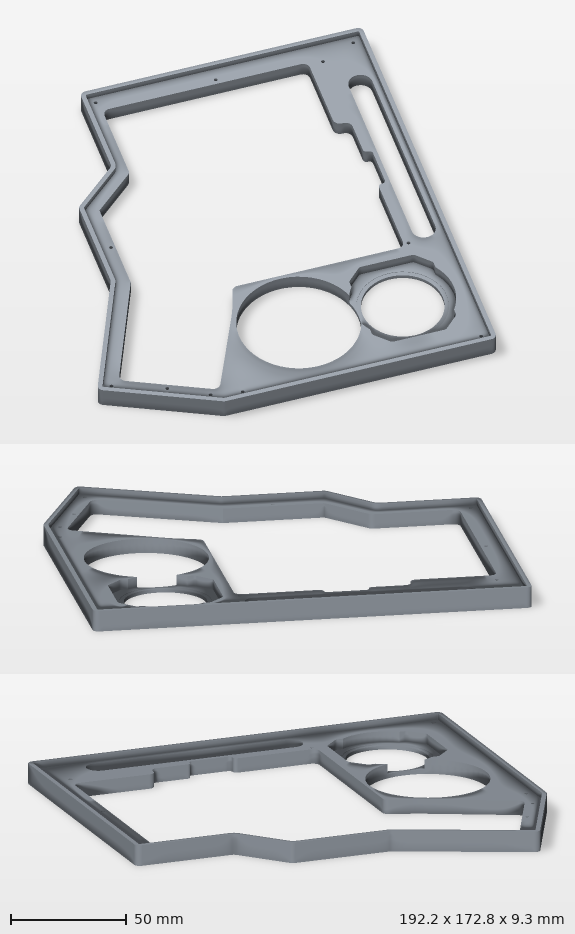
import cadquery as cq
import math


length = 192.25
depth = 172.83
height = 9.3
rim_width = 2.05
deck_z = 6.5
outer_radius = 2.6

left_slant = math.radians(48)
front_slant = math.radians(22.85)
right_slant = math.radians(65.15)

left_front_y = -127.8
left_front_end_x = 45.4
middle_front_y = -148.6
right_edge_end_y = -123.45

window_left = 10.5
window_right = 126.6
window_rear_y = -20.85
window_step_x = 49.1
window_step_y = -27.85
notch_left = 68.25
notch_right = 88.15
notch_y = -17.25
notch_radius = 1.7
window_radius = 3.2
window_left_front_y = -120.8
window_left_front_end_x = 49.1
window_middle_front_y = -139.85
window_middle_front_end_x = 110.65
hole_side_corner_y = -99.0
hole_side_bend = (140.15, -103.3)
hole_side_bend_radius = 45.6
window_right_corner = (182.45, -122.6)

slot_length = 100.0
slot_width = 10.6
slot_center = (74.05, -10.0)

opening_x = 155.2
large_hole_y = -78.0
large_hole_diameter = 54.0
ring_y = -31.0
ring_hole_diameter = 36.08
ring_recess_diameter = 40.0
ring_recess_z = 1.65

pocket_z = 1.85
pocket_length = 46.2
pocket_width = 38.05
pocket_corner = 6.75
pocket_corner_radius = 2.0
pocket_circle_diameter = 46.2

screw_diameter = 1.62
screw_depth = 5.0
screw_centers = [
    (5.3, -5.6),
    (11.9, -21.4),
    (8.1, -68.7),
    (5.3, -122.2),
    (88.5, -141.7),
    (124.9, -18.75),
    (186.7, -5.55),
    (186.7, -113.45),
    (184.2, -127.2),
    (175.0, -143.8),
    (166.35, -166.3),
]


def toward(start, end, distance):
    """Point at a distance from start on the way to end."""
    share = distance / math.dist(start, end)
    return (start[0] + share * (end[0] - start[0]), start[1] + share * (end[1] - start[1]))


def slanted_meeting(first, first_angle, second, second_angle):
    """Meeting point of two lines, each given by a point and a direction angle."""
    gap_x = second[0] - first[0]
    gap_y = second[1] - first[1]
    travel = gap_x * math.sin(second_angle) - gap_y * math.cos(second_angle)
    travel /= math.sin(second_angle - first_angle)
    return (first[0] + travel * math.cos(first_angle), first[1] + travel * math.sin(first_angle))


def rounded_outline(corners, bottom_z):
    """Closed outline through ((x, y), radius) corners; radius 0 leaves a corner sharp."""
    stretches = []
    for index, (corner, radius) in enumerate(corners):
        before = corners[index - 1][0]
        after = corners[(index + 1) % len(corners)][0]
        if radius == 0:
            stretches.append((corner, None, corner))
            continue
        angle_before = math.atan2(before[1] - corner[1], before[0] - corner[0])
        angle_after = math.atan2(after[1] - corner[1], after[0] - corner[0])
        half_angle = abs(math.remainder(angle_after - angle_before, math.tau)) / 2
        tangent_length = radius / math.tan(half_angle)
        arc_start = toward(corner, before, tangent_length)
        arc_end = toward(corner, after, tangent_length)
        chord_middle = ((arc_start[0] + arc_end[0]) / 2, (arc_start[1] + arc_end[1]) / 2)
        arc_middle = toward(corner, chord_middle, radius / math.sin(half_angle) - radius)
        stretches.append((arc_start, arc_middle, arc_end))

    outline = cq.Workplane("XY").workplane(offset=bottom_z).moveTo(*stretches[0][2])
    for arc_start, arc_middle, arc_end in stretches[1:] + stretches[:1]:
        outline = outline.lineTo(*arc_start)
        if arc_middle is not None:
            outline = outline.threePointArc(arc_middle, arc_end)
    return outline.close()


def frame_corners():
    """Outer corners; the rounded front tip reaches exactly the overall depth."""
    slant_run = (left_front_y - middle_front_y) / math.tan(left_slant)
    middle_front_start = (left_front_end_x + slant_run, middle_front_y)
    right_edge_end = (length, right_edge_end_y)
    tip_center_y = outer_radius - depth
    tip_center_x = length + (tip_center_y - right_edge_end_y) / math.tan(right_slant)
    tip_center_x -= outer_radius / math.sin(right_slant)
    slant_tangent = (
        tip_center_x - outer_radius * math.sin(front_slant),
        tip_center_y - outer_radius * math.cos(front_slant),
    )
    front_tip = slanted_meeting(slant_tangent, -front_slant, right_edge_end, right_slant)
    middle_front_end = slanted_meeting(slant_tangent, -front_slant, middle_front_start, 0)
    points = [
        (0, 0),
        (length, 0),
        right_edge_end,
        front_tip,
        middle_front_end,
        middle_front_start,
        (left_front_end_x, left_front_y),
        (0, left_front_y),
    ]
    return [(point, outer_radius) for point in points]


def make_tray():
    """Solid plate with a raised rim all around its top."""
    body = rounded_outline(frame_corners(), 0).extrude(height)
    inside = rounded_outline(frame_corners(), deck_z).offset2D(-rim_width).extrude(height - deck_z)
    return body.cut(inside)


def make_window():
    slant_run = (window_left_front_y - window_middle_front_y) / math.tan(left_slant)
    front_start = (window_left_front_end_x + slant_run, window_middle_front_y)
    front_end = (window_middle_front_end_x, window_middle_front_y)
    front_tip = slanted_meeting(front_end, -front_slant, window_right_corner, right_slant)
    corners = [
        ((window_left, window_step_y), window_radius),
        ((window_step_x, window_step_y), window_radius),
        ((window_step_x, window_rear_y), window_radius),
        ((notch_left, window_rear_y), notch_radius),
        ((notch_left, notch_y), notch_radius),
        ((notch_right, notch_y), notch_radius),
        ((notch_right, window_rear_y), notch_radius),
        ((window_right, window_rear_y), window_radius),
        ((window_right, hole_side_corner_y), window_radius),
        (hole_side_bend, hole_side_bend_radius),
        (window_right_corner, window_radius),
        (front_tip, window_radius),
        (front_end, 0),
        (front_start, 0),
        ((window_left_front_end_x, window_left_front_y), window_radius),
        ((window_left, window_left_front_y), window_radius),
    ]
    return rounded_outline(corners, 0).extrude(height)


def make_slot():
    return cq.Workplane("XY").center(*slot_center).slot2D(slot_length, slot_width).extrude(height)


def make_cylinder(diameter, center, bottom_z):
    """Cutter open to the top of the frame."""
    plane = cq.Workplane("XY").workplane(offset=bottom_z).center(*center)
    return plane.circle(diameter / 2).extrude(height - bottom_z)


def make_pocket():
    """Eight-sided pocket merged with a circle that bulges past its front and rear sides."""
    center = (opening_x, ring_y)
    block = (
        cq.Workplane("XY")
        .workplane(offset=pocket_z)
        .center(*center)
        .rect(pocket_length, pocket_width)
        .extrude(height - pocket_z)
        .edges("|Z")
        .chamfer(pocket_corner)
        .edges("|Z")
        .fillet(pocket_corner_radius)
    )
    return block.union(make_cylinder(pocket_circle_diameter, center, pocket_z))


frame = make_tray()
frame = frame.cut(make_window())
frame = frame.cut(make_slot())
frame = frame.cut(make_pocket())
frame = frame.cut(make_cylinder(ring_recess_diameter, (opening_x, ring_y), ring_recess_z))
frame = frame.cut(make_cylinder(ring_hole_diameter, (opening_x, ring_y), 0))
frame = frame.cut(make_cylinder(large_hole_diameter, (opening_x, large_hole_y), 0))
for screw_center in screw_centers:
    frame = frame.cut(make_cylinder(screw_diameter, screw_center, deck_z - screw_depth))

result = frame